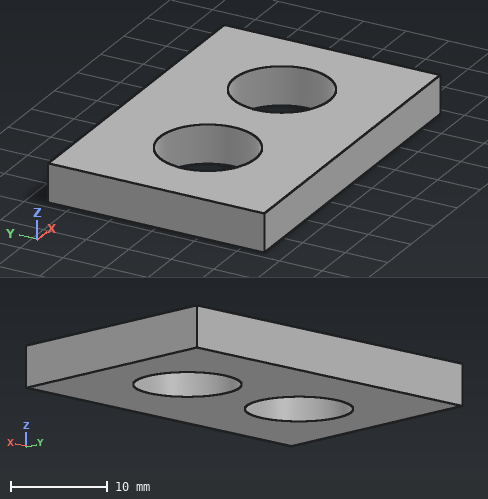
import cadquery as cq

plate_length = 38.1
plate_width = 25.4
plate_thickness = 4.5

hole_diameter = 11.18
hole_spacing = 16.0
hole_pair_offset = 0.15


def make_plate():
    return cq.Workplane("XY").box(plate_length, plate_width, plate_thickness)


def cut_holes(plate):
    centers = [(hole_pair_offset + side * hole_spacing / 2, 0) for side in (-1, 1)]
    return plate.faces(">Z").workplane().pushPoints(centers).hole(hole_diameter)


result = cut_holes(make_plate())